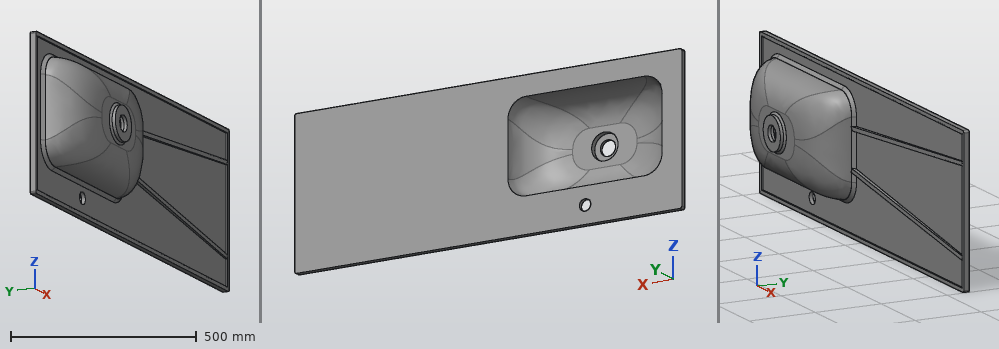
import cadquery as cq
import math

LENGTH = 1200.0
HEIGHT = 451.0
OVERALL_DEPTH = 135.0
RIM_DEPTH = 17.0
RIM_WIDTH = 11.4
CORNER_RADIUS = 6.0
SHEET = 12.0

BOWL_X = 300.0
BOWL_Z = 250.0
BOWL_HALF_LENGTH = 251.0
BOWL_HALF_HEIGHT = 152.0
BOWL_DEPTH = 120.0
BOWL_WALL = SHEET
FLARE_TAPER = 45
SECTION_COUNT = 9
LAST_SECTION_ANGLE = 80
RIM_CORNER_RATIO = 0.4
FLOOR_CORNER_RATIO = 0.9
FLARE_WIDTH = 10.0

DRAIN_RADIUS = 50.0
DRAIN_BASE_RADIUS = 58.0
DRAIN_FLARE_LENGTH = 5.0
DRAIN_HOLE_RADIUS = 47.0 / 2
DRAIN_WALL = 10.0
TAP_HOLE_RADIUS = 35.0 / 2
TAP_HOLE_Z = 55.0

CHANNEL_START_X = BOWL_X + BOWL_HALF_LENGTH
CHANNEL_END_X = LENGTH - RIM_WIDTH
CHANNEL_WIDTH = 12.0
CHANNEL_HEIGHTS = ((308.0, 358.0), (192.0, 95.0))
CHANNEL_START_DEPTH = RIM_DEPTH + 6.0
CHANNEL_END_DEPTH = RIM_DEPTH


def plane_at(depth, x, z):
    """Workplane facing -Y, the given depth in front of the back face."""
    return cq.Workplane("XZ", origin=(x, -depth, z))


def make_panel():
    """Sheet with a raised border around its front face."""
    block = (
        plane_at(0, LENGTH / 2, HEIGHT / 2)
        .rect(LENGTH, HEIGHT)
        .extrude(RIM_DEPTH)
        .edges("|Y")
        .fillet(CORNER_RADIUS)
    )
    recess = (
        plane_at(SHEET, LENGTH / 2, HEIGHT / 2)
        .rect(LENGTH - 2 * RIM_WIDTH, HEIGHT - 2 * RIM_WIDTH)
        .extrude(RIM_DEPTH - SHEET)
    )
    return block.cut(recess)


def bowl_section(half_length, half_height, radius):
    """Rounded rectangle centred on the bowl axis."""
    return cq.Sketch().rect(2 * half_length, 2 * half_height).vertices().fillet(radius)


def make_dome(top, inset):
    """Bowl body from depth `top` to its floor, shrunk all round by `inset`."""
    last_angle = math.radians(LAST_SECTION_ANGLE)
    span = (BOWL_DEPTH - inset - top) / math.sin(last_angle)
    sections = []
    for index in range(SECTION_COUNT):
        angle = last_angle * index / (SECTION_COUNT - 1)
        fall = math.sin(angle)
        scale = math.sqrt(math.cos(angle))
        half_length = (BOWL_HALF_LENGTH - inset) * scale
        half_height = (BOWL_HALF_HEIGHT - inset) * scale
        corner_ratio = RIM_CORNER_RATIO + (FLOOR_CORNER_RATIO - RIM_CORNER_RATIO) * fall**2
        section = bowl_section(half_length, half_height, corner_ratio * half_height)
        sections.append(section.moved(cq.Location(cq.Vector(0, 0, top + span * fall))))
    return plane_at(0, BOWL_X, BOWL_Z).placeSketch(*sections).loft()


def make_flare():
    """Tapered collar that blends the bowl into the panel."""
    corner = RIM_CORNER_RATIO * BOWL_HALF_HEIGHT + FLARE_WIDTH
    section = bowl_section(BOWL_HALF_LENGTH + FLARE_WIDTH, BOWL_HALF_HEIGHT + FLARE_WIDTH, corner)
    return plane_at(SHEET, BOWL_X, BOWL_Z).placeSketch(section).extrude(FLARE_WIDTH, taper=FLARE_TAPER)


def make_drain():
    """Drain spigot with a conical foot on the bowl floor."""
    spigot = plane_at(BOWL_DEPTH - BOWL_WALL, BOWL_X, BOWL_Z).circle(DRAIN_RADIUS)
    spigot = spigot.extrude(OVERALL_DEPTH - BOWL_DEPTH + BOWL_WALL)
    foot = (
        plane_at(BOWL_DEPTH, BOWL_X, BOWL_Z)
        .circle(DRAIN_BASE_RADIUS)
        .workplane(offset=DRAIN_FLARE_LENGTH)
        .circle(DRAIN_RADIUS)
        .loft()
    )
    return spigot.union(foot)


def make_channel(start_z, end_z, width, start_depth, end_depth):
    """Sloping bar from the back face forward, running from the bowl to the rim."""
    run = CHANNEL_END_X - CHANNEL_START_X
    rise = end_z - start_z
    length = math.hypot(run, rise)
    profile = [(0, 0), (length, 0), (length, -end_depth), (0, -start_depth)]
    return (
        cq.Workplane("XY")
        .polyline(profile)
        .close()
        .extrude(width / 2, both=True)
        .rotate((0, 0, 0), (0, 1, 0), -math.degrees(math.atan2(rise, run)))
        .translate((CHANNEL_START_X, 0, start_z))
    )


def make_hole(z, radius, depth):
    """Cylinder running forward from the back face, in line with the bowl centre."""
    return plane_at(0, BOWL_X, z).circle(radius).extrude(depth)


result = make_panel()
for start_z, end_z in CHANNEL_HEIGHTS:
    rib = make_channel(start_z, end_z, CHANNEL_WIDTH, CHANNEL_START_DEPTH, CHANNEL_END_DEPTH)
    result = result.union(rib)
result = result.union(make_flare()).union(make_dome(SHEET, 0)).union(make_drain())
result = result.cut(make_dome(0, BOWL_WALL))
result = result.cut(make_hole(BOWL_Z, DRAIN_RADIUS - DRAIN_WALL, OVERALL_DEPTH - DRAIN_WALL))
result = result.cut(make_hole(BOWL_Z, DRAIN_HOLE_RADIUS, OVERALL_DEPTH))
result = result.cut(make_hole(TAP_HOLE_Z, TAP_HOLE_RADIUS, RIM_DEPTH))